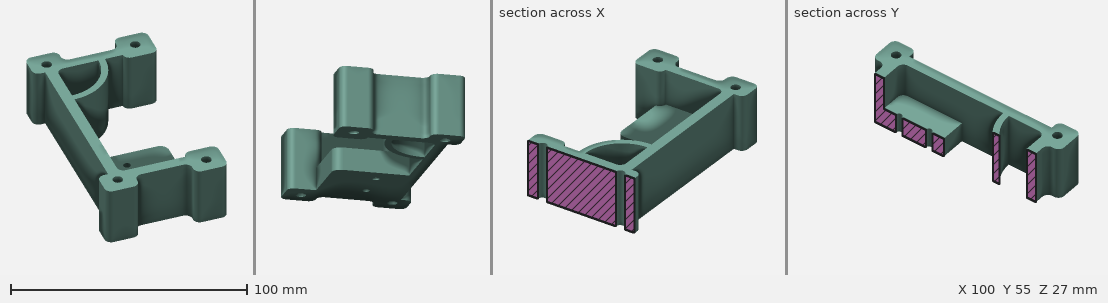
import cadquery as cq

length = 100.0
depth = 55.0
height = 27.0

pad_size = 15.0
corner_radius = 3.0
screw_diameter = 4.5
screw_inset_x = 7.0
screw_inset_y = pad_size / 2

wall = 5.0
side_wall_inset = 7.0
front_wall_inset = 5.0

curved_wall_inner_radius = 19.0
curved_wall_thickness = 3.0

plate_width = 32.0
plate_depth = 33.0
plate_thickness = 10.0
plate_corner_radius = 4.0
plate_hole_diameter = 3.2
plate_hole_spacing = 16.0
plate_hole_from_wall_x = 8.0
plate_hole_from_wall_y = 12.5

half_length = length / 2
wall_outer_x = half_length - side_wall_inset
wall_inner_x = wall_outer_x - wall
front_inner_y = front_wall_inset + wall
rear_pad_inner_x = half_length - pad_size
rear_pad_y = depth - pad_size
screw_x = half_length - screw_inset_x
plate_left_x = wall_inner_x - plate_width
plate_rear_y = front_inner_y + plate_depth


def block(x_min, x_max, y_min, y_max, block_height=height):
    """Rectangular block standing on the base plane."""
    return (
        cq.Workplane("XY")
        .box(x_max - x_min, y_max - y_min, block_height, centered=False)
        .translate((x_min, y_min, 0))
    )


def end_block(side, inner_x, outer_x, y_min, y_max):
    """Full-height block at one end of the part; side is -1 for left and 1 for right."""
    x_min, x_max = sorted((side * inner_x, side * outer_x))
    return block(x_min, x_max, y_min, y_max)


def make_corner_pad(side, inner_x, front_y):
    """Rounded pad reaching from the given inner side to the end face."""
    pad = end_block(side, inner_x, half_length, front_y, front_y + pad_size)
    return pad.edges("|Z").fillet(corner_radius)


def make_side_wall(side):
    """Wall joining the front and rear pads of one end, running into both."""
    rear_y = depth - screw_inset_y
    return end_block(side, wall_inner_x, wall_outer_x, front_wall_inset, rear_y)


def make_frame():
    """U-shaped frame of walls and corner pads, with its inside corners rounded."""
    frame = block(-wall_outer_x, wall_outer_x, front_wall_inset, front_inner_y)
    for side in (-1, 1):
        frame = frame.union(make_side_wall(side))
        frame = frame.union(make_corner_pad(side, wall_inner_x, 0))
        frame = frame.union(make_corner_pad(side, rear_pad_inner_x, rear_pad_y))

    inside_corners = [
        (wall_outer_x, pad_size),
        (wall_outer_x, rear_pad_y),
        (wall_inner_x, front_inner_y),
    ]
    for side in (-1, 1):
        for x, y in inside_corners:
            corner = cq.selectors.NearestToPointSelector((side * x, y, height / 2))
            frame = frame.edges(corner).fillet(corner_radius)
    return frame


def make_curved_wall():
    """Quarter-round wall enclosing the left inner corner."""
    outer_radius = curved_wall_inner_radius + curved_wall_thickness
    ring = (
        cq.Workplane("XY")
        .center(-wall_inner_x, front_inner_y)
        .circle(outer_radius)
        .circle(curved_wall_inner_radius)
        .extrude(height)
    )
    overlap = wall / 2
    quarter = block(
        -wall_inner_x - overlap,
        -wall_inner_x + outer_radius,
        front_inner_y - overlap,
        front_inner_y + outer_radius,
    )
    return ring.intersect(quarter)


def make_plate():
    """Low plate in the right inner corner, with its free corner rounded."""
    plate = block(
        plate_left_x,
        wall_inner_x + wall / 2,
        front_inner_y - wall / 2,
        plate_rear_y,
        plate_thickness,
    )
    free_corner = plate.edges("|Z and <X and >Y")
    return free_corner.fillet(plate_corner_radius)


def make_holes(points, diameter):
    """Vertical cylinders that pass through the full height."""
    return cq.Workplane("XY").pushPoints(points).circle(diameter / 2).extrude(height)


screw_points = [
    (side * screw_x, y)
    for side in (-1, 1)
    for y in (screw_inset_y, depth - screw_inset_y)
]
plate_hole_y = front_inner_y + plate_hole_from_wall_y
plate_hole_right_x = wall_inner_x - plate_hole_from_wall_x
plate_hole_points = [
    (plate_hole_right_x - plate_hole_spacing, plate_hole_y),
    (plate_hole_right_x, plate_hole_y),
]

result = make_frame().union(make_curved_wall()).union(make_plate())
result = result.cut(make_holes(screw_points, screw_diameter))
result = result.cut(make_holes(plate_hole_points, plate_hole_diameter))